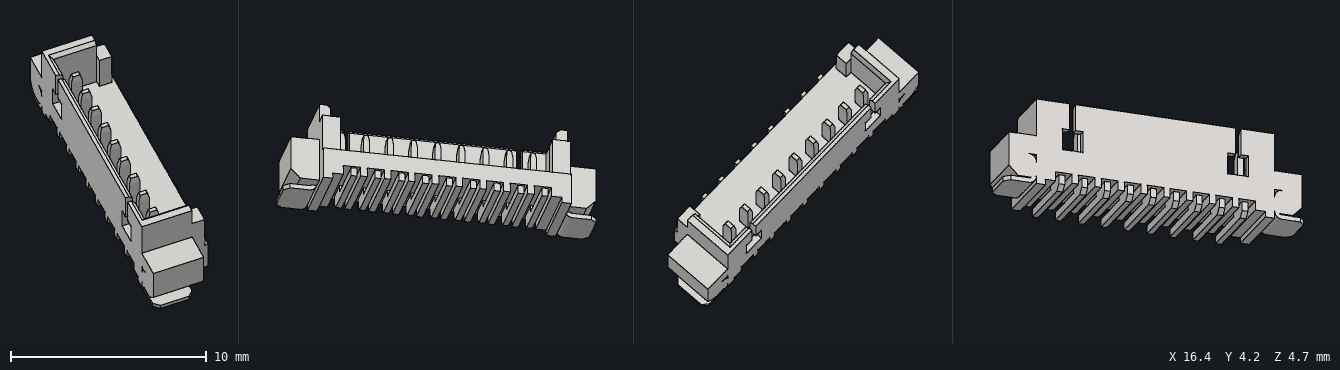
import cadquery as cq


pin_count = 9
pitch = 1.25
pin_width = 0.32

body_half_length = 6.5
body_height = 4.7
floor_top = 1.7
floor_underside = 0.8
base_depth = 3.7
wall_depth = 2.8

front_wall = 0.4
side_wall = 0.6
lead_in_width = 0.2
lead_in_height = 0.2

post_length = 0.95
post_back = 3.5
post_top = 3.7

support_gap = 0.3
foot_length = 0.5
foot_step_end = 5.45
tooth_width = 0.35

slot_inner = 4.375
slot_outer = 4.675
window_inner = 3.95
window_outer = 5.075
window_bottom = 2.1
window_top = 3.25

ear_half_length = 8.0
ear_top = 2.65
ear_chamfer = 0.5

clip_half_length = 8.2
clip_thickness = 0.25
clip_depth = 2.2
clip_top = 1.6
clip_hook_length = 0.8
clip_inner_radius = 0.15
clip_outer_radius = clip_inner_radius + clip_thickness
clip_tip_chamfer = 0.3

pin_front = 0.95
pin_thickness = 0.6
pin_top = 3.9
pin_tip_height = 0.4
pin_tip_side_inset = 0.05
pin_tip_face_inset = 0.1
pin_heel_front = 0.3
pin_bend_chamfer = 0.3
tail_end = 4.2
tail_height = 0.45


def block(x_min, x_max, y_min, y_max, z_min, z_max):
    """Axis-aligned box given by its limits."""
    size = (x_max - x_min, y_max - y_min, z_max - z_min)
    return cq.Workplane("XY").box(*size, centered=False).translate((x_min, y_min, z_min))


def both_ends(shape):
    """A right-hand end feature together with its mirror image at the left end."""
    return shape.union(shape.mirror("YZ"))


def make_shell():
    """Base, front wall and side walls around a cavity that is open at the back."""
    base = block(-body_half_length, body_half_length, 0, base_depth, floor_underside, floor_top)
    walls = block(-body_half_length, body_half_length, 0, wall_depth, floor_top, body_height)
    post_inner = body_half_length - post_length
    post = block(post_inner, body_half_length, wall_depth, post_back, floor_top, post_top)
    cavity_half_length = body_half_length - side_wall
    cavity = block(
        -cavity_half_length, cavity_half_length, front_wall, wall_depth, floor_top, body_height
    )
    shell = base.union(walls).cut(cavity).cut(make_lead_in(cavity_half_length))
    return shell.union(both_ends(post))


def make_lead_in(cavity_half_length):
    """Bevel cutter around the mouth of the cavity, run out through the open back."""
    back = wall_depth + lead_in_width
    depth = back - front_wall
    middle_y = (back + front_wall) / 2
    return (
        cq.Workplane("XY", origin=(0, middle_y, body_height - lead_in_height))
        .rect(2 * cavity_half_length, depth)
        .workplane(offset=lead_in_height)
        .rect(2 * (cavity_half_length + lead_in_width), depth + 2 * lead_in_width)
        .loft(ruled=True)
    )


def make_keying_slot():
    """Slot down from the top of the front wall, widening into a window."""
    slot = block(slot_inner, slot_outer, 0, front_wall, window_top, body_height)
    window = block(window_inner, window_outer, 0, front_wall, window_bottom, window_top)
    return slot.union(window)


def make_foot():
    """Stepped foot under one end of the housing, reaching the mounting plane."""
    step = block(foot_step_end, body_half_length, 0, base_depth, support_gap, floor_underside)
    foot_inner = body_half_length - foot_length
    foot = block(foot_inner, body_half_length, 0, base_depth, 0, support_gap)
    return step.union(foot)


def make_tooth(x):
    """Rib under the base, midway between two pins."""
    half_width = tooth_width / 2
    return block(x - half_width, x + half_width, 0, base_depth, support_gap, floor_underside)


def make_ear():
    """Block on the end of the housing with a bevelled lower outer edge."""
    ear = block(body_half_length, ear_half_length, 0, wall_depth, support_gap, ear_top)
    return ear.edges(">X and <Z").chamfer(ear_chamfer)


def make_clip_slot():
    """Square-cornered slot in the ear that holds the clip."""
    upright_outer = body_half_length + clip_thickness
    hook_end = body_half_length + clip_hook_length
    upright = block(body_half_length, upright_outer, 0, clip_depth, 0, clip_top)
    hook = block(body_half_length, hook_end, 0, clip_depth, clip_top - clip_thickness, clip_top)
    return upright.union(hook)


def make_clip():
    """C-shaped bent strip: hook in the ear, upright, and solder foot on the board."""
    upright_outer = body_half_length + clip_thickness
    hook_end = body_half_length + clip_hook_length
    clip = (
        cq.Workplane("XZ")
        .moveTo(body_half_length, 0)
        .lineTo(clip_half_length, 0)
        .lineTo(clip_half_length, clip_thickness)
        .lineTo(upright_outer, clip_thickness)
        .lineTo(upright_outer, clip_top - clip_thickness)
        .lineTo(hook_end, clip_top - clip_thickness)
        .lineTo(hook_end, clip_top)
        .lineTo(body_half_length, clip_top)
        .close()
        .extrude(-clip_depth)
    )
    clip = clip.edges("|Y and <X").fillet(clip_outer_radius)
    inner_bends = cq.selectors.BoxSelector(
        (upright_outer - clip_inner_radius, -clip_depth, 0),
        (upright_outer + clip_inner_radius, 2 * clip_depth, clip_top),
    )
    clip = clip.edges("|Y").edges(inner_bends).fillet(clip_inner_radius)
    return clip.edges("|Z and >X").chamfer(clip_tip_chamfer)


def make_pin(x):
    """L-shaped pin: upright contact with a tapered tip, front heel, and solder tail to the back."""
    pin_back = pin_front + pin_thickness
    shoulder = pin_top - pin_tip_height
    pin = (
        cq.Workplane("YZ", origin=(x - pin_width / 2, 0, 0))
        .moveTo(pin_heel_front, pin_bend_chamfer)
        .lineTo(pin_heel_front + pin_bend_chamfer, 0)
        .lineTo(tail_end, 0)
        .lineTo(tail_end, tail_height)
        .lineTo(pin_back, tail_height)
        .lineTo(pin_back, shoulder)
        .lineTo(pin_front, shoulder)
        .lineTo(pin_front, floor_underside)
        .lineTo(pin_heel_front, floor_underside)
        .close()
        .extrude(pin_width)
    )
    tip = (
        cq.Workplane("XY", origin=(x, pin_front + pin_thickness / 2, shoulder))
        .rect(pin_width, pin_thickness)
        .workplane(offset=pin_tip_height)
        .rect(pin_width - 2 * pin_tip_side_inset, pin_thickness - 2 * pin_tip_face_inset)
        .loft(ruled=True)
    )
    return pin.union(tip)


first_pin_x = -pitch * (pin_count - 1) / 2

result = make_shell().union(both_ends(make_foot()))
result = result.cut(both_ends(make_keying_slot()))
for index in range(pin_count - 1):
    result = result.union(make_tooth(first_pin_x + pitch * (index + 0.5)))

result = result.union(both_ends(make_ear().cut(make_clip_slot())))
for index in range(pin_count):
    result = result.union(make_pin(first_pin_x + pitch * index))

result = result.union(both_ends(make_clip()), clean=False)